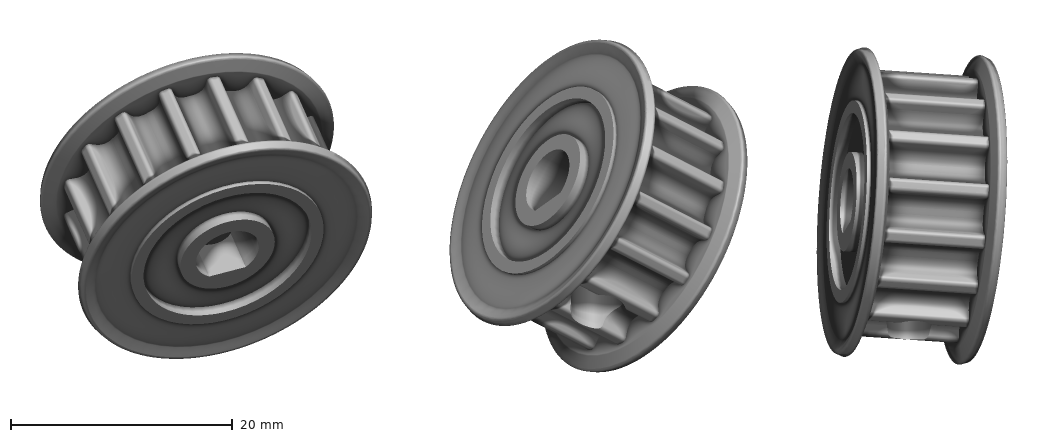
import cadquery as cq
import math


outer_diameter = 27.98
overall_width = 12.0
tooth_width = 9.3

tooth_count = 16
tip_radius = 12.15
root_radius = 10.15
root_flat_half = 0.34
root_arc_radius = 1.2
flank_angle = math.radians(15)
tip_round = 0.4
pitch_angle = 2 * math.pi / tooth_count

rim_diameter = 18.33
recess_diameter = 16.0
boss_diameter = 9.0
recess_depth = 1.0

bore_diameter = 6.02
flat_offset = 2.45
screw_hole_diameter = 5.0

sheet = 0.98
bend_angle = math.radians(20)
edge_round = 0.25


def cylinder(diameter, start, length):
    """Cylinder on the X axis."""
    return cq.Workplane("YZ", origin=(start, 0, 0)).circle(diameter / 2).extrude(length)




def polar(radius, angle):
    """Point at an angle from the centreline of the first groove."""
    return (radius * math.sin(angle), radius * math.cos(angle))


def shifted(point, direction, distance):
    return (point[0] + distance * direction[0], point[1] + distance * direction[1])


def turned(point, angle):
    """Point turned about the pulley axis."""
    across, out = point
    return (
        across * math.cos(angle) + out * math.sin(angle),
        out * math.cos(angle) - across * math.sin(angle),
    )


def half_groove():
    """Points of half a groove: root arc (3 points), then tip round (3 points)."""
    root_turn = math.pi / 2 - flank_angle
    root_centre = (root_flat_half, root_radius + root_arc_radius)
    root_start = (root_flat_half, root_radius)
    root_middle = shifted(root_centre, polar(1, math.pi - root_turn / 2), root_arc_radius)
    root_end = shifted(root_centre, polar(1, math.pi - root_turn), root_arc_radius)

    along_flank = polar(1, flank_angle)
    into_tooth = polar(1, flank_angle + math.pi / 2)
    base = shifted(root_end, into_tooth, tip_round)
    base_along = base[0] * along_flank[0] + base[1] * along_flank[1]
    base_aside = base[0] * into_tooth[0] + base[1] * into_tooth[1]
    flank_length = math.sqrt((tip_radius - tip_round) ** 2 - base_aside**2) - base_along
    tip_centre = shifted(base, along_flank, flank_length)

    land_angle = math.atan2(tip_centre[0], tip_centre[1])
    tip_start = shifted(tip_centre, into_tooth, -tip_round)
    tip_middle = shifted(tip_centre, polar(1, (land_angle - root_turn) / 2), tip_round)
    tip_end = polar(tip_radius, land_angle)
    return [root_start, root_middle, root_end, tip_start, tip_middle, tip_end]


def toothed_body():
    rising_side = half_groove()
    falling_side = [(-across, out) for across, out in reversed(rising_side)]
    outline = cq.Workplane("YZ", origin=(-tooth_width / 2, 0, 0)).moveTo(*rising_side[0])
    for tooth in range(tooth_count):
        this_groove = tooth * pitch_angle
        next_groove = this_groove + pitch_angle
        rising = [turned(point, this_groove) for point in rising_side]
        falling = [turned(point, next_groove) for point in falling_side]
        land_middle = polar(tip_radius, this_groove + pitch_angle / 2)
        outline = (
            outline.threePointArc(rising[1], rising[2])
            .lineTo(*rising[3])
            .threePointArc(rising[4], rising[5])
            .threePointArc(land_middle, falling[0])
            .threePointArc(falling[1], falling[2])
            .lineTo(*falling[3])
            .threePointArc(falling[4], falling[5])
        )
        if tooth < tooth_count - 1:
            outline = outline.lineTo(*turned(rising_side[0], next_groove))
    return outline.close().extrude(tooth_width)


def end_recess(start):
    """Annular recess between the rim and the boss."""
    recess = cylinder(recess_diameter, start, recess_depth)
    return recess.cut(cylinder(boss_diameter, start, recess_depth))


def d_bore():
    bore = cylinder(bore_diameter, -overall_width / 2, overall_width)
    above_flat = cq.Workplane("XY", origin=(0, 0, -flat_offset)).box(
        overall_width, bore_diameter, bore_diameter, centered=(True, True, False)
    )
    return bore.intersect(above_flat)


def screw_hole():
    """Radial hole from the bore through the flat and out between the teeth."""
    return cq.Workplane("XY").circle(screw_hole_diameter / 2).extrude(-tip_radius)


def make_pulley():
    body = toothed_body().union(cylinder(rim_diameter, -overall_width / 2, overall_width))
    for recess_start in (-overall_width / 2, overall_width / 2 - recess_depth):
        body = body.cut(end_recess(recess_start))
    return body.cut(d_bore()).cut(screw_hole())




def make_flange():
    """Flange of the +X end: a flat web with a conical edge, its bends and edges rounded."""
    inner_face = tooth_width / 2
    outer_face = inner_face + sheet

    round_loss = edge_round * (math.cos(bend_angle) + math.sin(bend_angle) - 1)
    inner_tip_radius = outer_diameter / 2 + round_loss
    outer_tip_x = overall_width / 2 + round_loss
    inner_tip_x = outer_tip_x - sheet * math.cos(bend_angle)
    outer_tip_radius = inner_tip_radius - sheet * math.sin(bend_angle)
    inner_bend_radius = inner_tip_radius - (inner_tip_x - inner_face) / math.tan(bend_angle)
    outer_bend_radius = inner_bend_radius - sheet * math.tan(bend_angle / 2)

    profile = [
        (inner_face, 0),
        (inner_face, inner_bend_radius),
        (inner_tip_x, inner_tip_radius),
        (outer_tip_x, outer_tip_radius),
        (outer_face, outer_bend_radius),
        (outer_face, 0),
    ]
    disc = cq.Workplane("XY").polyline(profile).close().revolve(360, (0, 0, 0), (1, 0, 0))
    rounded_disc = disc.edges("%CIRCLE").fillet(edge_round)
    return rounded_disc.cut(cylinder(rim_diameter, inner_face, sheet))


def make_flanges():
    flange = make_flange()
    flanges = []
    for turn in (0, 180):
        flanges.append(flange.rotate((0, 0, 0), (0, 0, 1), turn))
    return flanges


pulley = make_pulley()
flanges = make_flanges()

result = cq.Compound.makeCompound([pulley.val(), *[flange.val() for flange in flanges]])